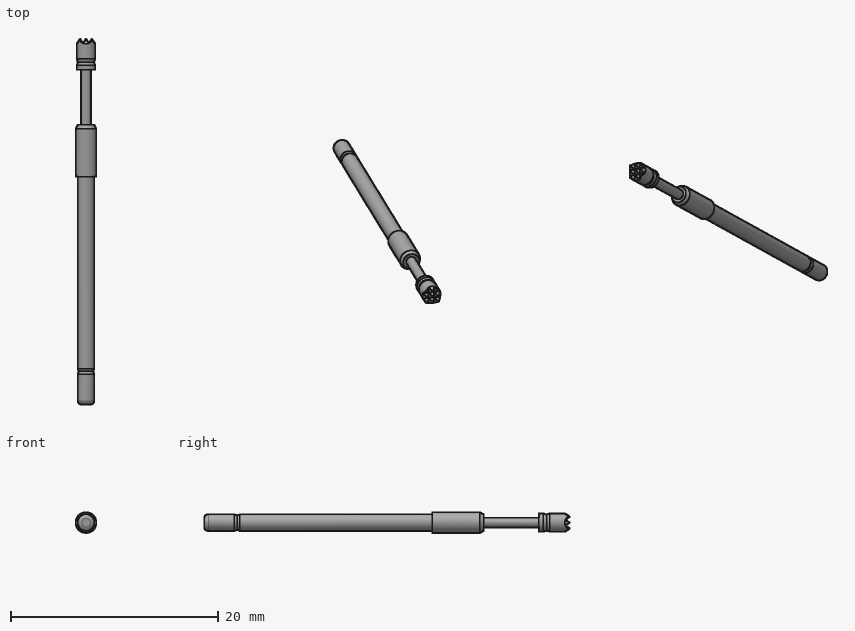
import cadquery as cq
import math

length = 35.3
tail_end = -length / 2
tip_end = length / 2

barrel_diameter = 1.62
tail_rounding = 0.4
barrel_groove_from_tail = 3.2
barrel_groove_depth = 0.1
barrel_groove_tail_width = 0.3
barrel_groove_head_width = 0.25

collar_diameter = 2.0
collar_from_tail = 22.0
collar_length = 5.0
collar_chamfer_length = 0.4
collar_chamfer_depth = 0.2

shaft_diameter = 1.0
head_diameter = 1.8
head_length = 3.0
head_groove_from_tip = 2.25
head_groove_depth = 0.1
head_groove_half_width = 0.32

teeth_per_row = 3
tooth_pitch = 0.55
tooth_angle = 68.0

collar_start = tail_end + collar_from_tail
collar_end = collar_start + collar_length
head_start = tip_end - head_length


def cylinder(diameter, start, end):
    """Round bar on the Y axis between two Y positions."""
    plane = cq.Plane(origin=(0, start, 0), xDir=(1, 0, 0), normal=(0, 1, 0))
    return cq.Workplane(plane).circle(diameter / 2).extrude(end - start)


def ring_groove(diameter, center, depth, tail_width, head_width):
    """V-section ring to cut from a bar; its apex lies at Y = center."""
    radius = diameter / 2
    section = [
        (radius - depth, center),
        (radius + depth, center + 2 * head_width),
        (radius + depth, center - 2 * tail_width),
    ]
    return cq.Workplane("XY").polyline(section).close().revolve(360, (0, 0, 0), (0, 1, 0))


def make_barrel():
    barrel = cylinder(barrel_diameter, tail_end, collar_start)
    barrel = barrel.faces("<Y").edges().fillet(tail_rounding)
    groove_center = tail_end + barrel_groove_from_tail
    return barrel.cut(
        ring_groove(
            barrel_diameter,
            groove_center,
            barrel_groove_depth,
            barrel_groove_tail_width,
            barrel_groove_head_width,
        )
    )


def make_collar():
    collar = cylinder(collar_diameter, collar_start, collar_end)
    rim = collar.faces(">Y").edges()
    return rim.chamfer(collar_chamfer_length, collar_chamfer_depth)


def ridge_cutter(section):
    """Prism with the given XY section, long enough along Z to pass right across the head."""
    return cq.Workplane("XY").polyline(section).close().extrude(head_diameter, both=True)


def crown_grooves():
    """Parallel V grooves running along Z that leave rows of sharp ridges across X."""
    half_pitch = tooth_pitch / 2
    tooth_depth = half_pitch / math.tan(math.radians(tooth_angle / 2))
    grooves = cq.Workplane("XY")
    for index in range(1, teeth_per_row):
        bottom_x = (index - teeth_per_row / 2) * tooth_pitch
        grooves.add(
            ridge_cutter(
                [
                    (bottom_x - half_pitch, tip_end),
                    (bottom_x, tip_end - tooth_depth),
                    (bottom_x + half_pitch, tip_end),
                ]
            )
        )
    ridge_x = (teeth_per_row - 1) * half_pitch
    for side in (-1, 1):
        grooves.add(
            ridge_cutter(
                [
                    (side * ridge_x, tip_end),
                    (side * (ridge_x + tooth_pitch), tip_end - 2 * tooth_depth),
                    (side * (ridge_x + tooth_pitch), tip_end),
                ]
            )
        )
    return grooves.combine()


def make_head():
    head = cylinder(head_diameter, head_start, tip_end)
    head = head.cut(
        ring_groove(
            head_diameter,
            tip_end - head_groove_from_tip,
            head_groove_depth,
            head_groove_half_width,
            head_groove_half_width,
        )
    )
    grooves = crown_grooves()
    head = head.cut(grooves)
    return head.cut(grooves.rotate((0, 0, 0), (0, 1, 0), 90))


shaft = cylinder(shaft_diameter, collar_end, head_start)
result = make_barrel().union(make_collar()).union(shaft).union(make_head())